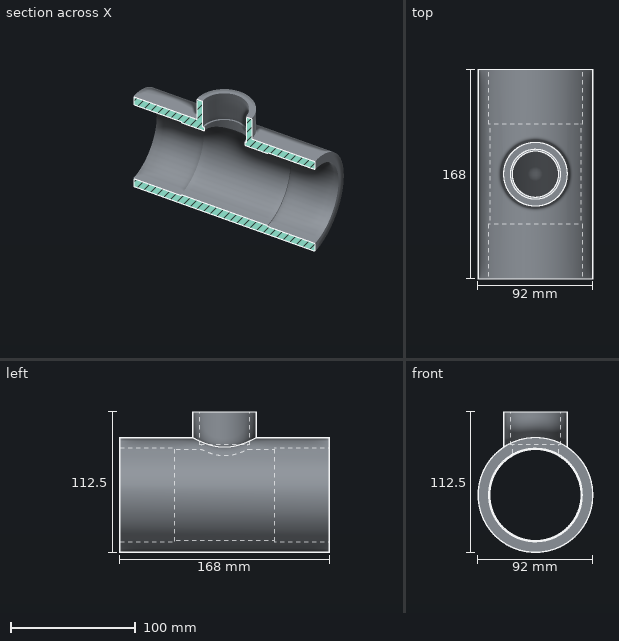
import cadquery as cq

run_length = 168.0
run_outer_diameter = 92.0
run_socket_diameter = 75.0
run_bore_diameter = 73.0
run_socket_depth = 44.0

branch_top = 66.5
branch_outer_diameter = 51.0
branch_socket_diameter = 40.0
branch_bore_diameter = 37.0
branch_socket_depth = 26.0


def run_cylinder(diameter, length):
    """Cylinder along Y, centred on the origin."""
    return cq.Workplane("XZ").circle(diameter / 2).extrude(length / 2, both=True)


def branch_cylinder(diameter, bottom):
    """Cylinder along Z from the given height up to the branch mouth."""
    return cq.Workplane("XY").workplane(offset=bottom).circle(diameter / 2).extrude(branch_top - bottom)


def outer_body():
    """Solid tee: the run joined with the branch."""
    return run_cylinder(run_outer_diameter, run_length).union(branch_cylinder(branch_outer_diameter, 0))


def run_passage():
    """Through bore with a wider pipe socket at each end of the run."""
    bore_length = run_length - 2 * run_socket_depth
    stop_ring = run_cylinder(run_socket_diameter, bore_length).cut(run_cylinder(run_bore_diameter, bore_length))
    return run_cylinder(run_socket_diameter, run_length).cut(stop_ring)


def branch_passage():
    """Bore from the run's axis with a wider pipe socket at the branch mouth."""
    socket = branch_cylinder(branch_socket_diameter, branch_top - branch_socket_depth)
    return branch_cylinder(branch_bore_diameter, 0).union(socket)


result = outer_body().cut(run_passage()).cut(branch_passage())